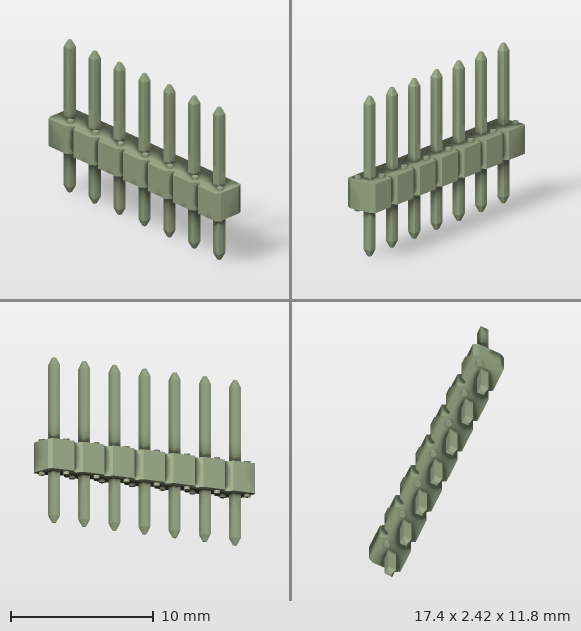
import cadquery as cq

PIN_COUNT = 7
PITCH = 2.54
PIN_WIDTH = 0.6
PIN_ABOVE = 6.03
PIN_BELOW = 3.63
TIP_LENGTH = 0.52
TIP_WIDTH = 0.2

HOUSING_LENGTH = 17.38
HOUSING_WIDTH = 2.42
HOUSING_HEIGHT = 2.14

NOTCH_WIDTH = 0.73
NOTCH_FLOOR_WIDTH = 0.42
NOTCH_WALL_DEPTH = 0.31
NOTCH_DEPTH = 0.45

PEG_DIAMETER = 0.43
PEG_HEIGHT = 0.2
PEG_OFFSET_X = 0.66
PEG_OFFSET_Y = 0.55

HALF_WIDTH = HOUSING_WIDTH / 2
FIRST_PIN_X = -PITCH * (PIN_COUNT - 1) / 2
PIN_POSITIONS = [FIRST_PIN_X + i * PITCH for i in range(PIN_COUNT)]
NOTCH_POSITIONS = [FIRST_PIN_X + (i - 0.5) * PITCH for i in range(PIN_COUNT + 1)]


def make_notch(x, side):
    """Vertical groove with sloping walls and a round floor; side is +1 or -1 along Y."""
    mouth_y = side * HALF_WIDTH
    wall_end_y = side * (HALF_WIDTH - NOTCH_WALL_DEPTH)
    floor_y = side * (HALF_WIDTH - NOTCH_DEPTH)
    return (
        cq.Workplane("XY")
        .moveTo(x - NOTCH_WIDTH / 2, mouth_y)
        .lineTo(x - NOTCH_FLOOR_WIDTH / 2, wall_end_y)
        .threePointArc((x, floor_y), (x + NOTCH_FLOOR_WIDTH / 2, wall_end_y))
        .lineTo(x + NOTCH_WIDTH / 2, mouth_y)
        .close()
        .extrude(HOUSING_HEIGHT)
    )


def make_housing():
    housing = cq.Workplane("XY").box(
        HOUSING_LENGTH, HOUSING_WIDTH, HOUSING_HEIGHT, centered=(True, True, False)
    )
    for x in NOTCH_POSITIONS:
        for side in (1, -1):
            housing = housing.cut(make_notch(x, side))
    return housing


def make_pegs():
    """Pegs on opposite corners of each pin, standing out of both housing faces."""
    centers = []
    for x in PIN_POSITIONS:
        centers.append((x - PEG_OFFSET_X, PEG_OFFSET_Y))
        centers.append((x + PEG_OFFSET_X, -PEG_OFFSET_Y))
    return (
        cq.Workplane("XY", origin=(0, 0, -PEG_HEIGHT))
        .pushPoints(centers)
        .circle(PEG_DIAMETER / 2)
        .extrude(HOUSING_HEIGHT + 2 * PEG_HEIGHT)
    )


def make_tip(x, base_z, direction):
    """Tapered pin end growing from base_z; direction is +1 (up) or -1 (down)."""
    return (
        cq.Workplane("XY", origin=(x, 0, base_z))
        .rect(PIN_WIDTH, PIN_WIDTH)
        .workplane(offset=direction * TIP_LENGTH)
        .rect(TIP_WIDTH, TIP_WIDTH)
        .loft(ruled=True)
    )


def make_pin(x):
    shank_bottom = -PIN_BELOW + TIP_LENGTH
    shank_top = HOUSING_HEIGHT + PIN_ABOVE - TIP_LENGTH
    shank = (
        cq.Workplane("XY", origin=(x, 0, shank_bottom))
        .rect(PIN_WIDTH, PIN_WIDTH)
        .extrude(shank_top - shank_bottom)
    )
    return shank.union(make_tip(x, shank_top, 1)).union(make_tip(x, shank_bottom, -1))


result = make_housing().union(make_pegs())
for pin_x in PIN_POSITIONS:
    result = result.union(make_pin(pin_x))